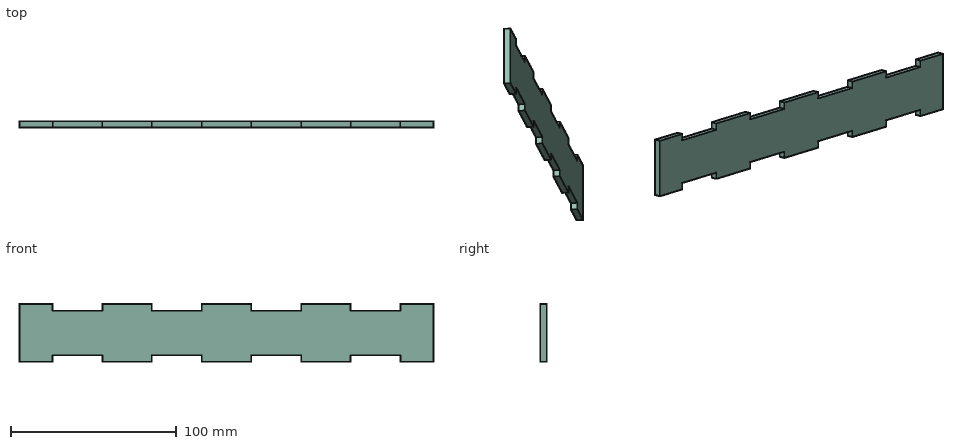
import cadquery as cq

length = 250.0
thickness = 4.0
height = 35.0

notch_count = 4
notch_width = 30.0
notch_pitch = 2 * notch_width
notch_depth = thickness


def make_strip():
    return cq.Workplane("XY").box(length, thickness, height)


def make_notches():
    """Cutters straddling both long edges, so half of each lies outside the strip."""
    return (
        cq.Workplane("XY")
        .rarray(notch_pitch, 2.5, notch_count, 1)
        .box(notch_width, thickness, 2 * notch_depth)
    )


result = make_strip()
for edge_z in (-height / 2, height / 2):
    result = result.cut(make_notches().translate((0, 0, edge_z)))